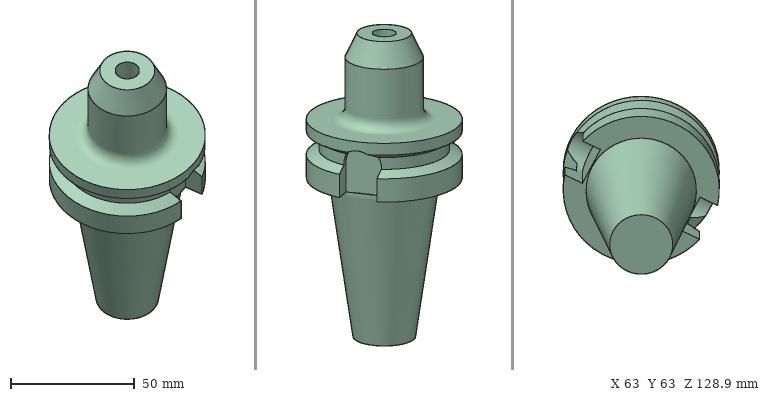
import cadquery as cq
import math

gauge_height = 65.4
gauge_radius = 22.24
taper_per_length = 7 / 24
tip_radius = gauge_radius - gauge_height * taper_per_length / 2

flange_radius = 31.52
flange_bottom = gauge_height + 2.0
flange_top = gauge_height + 27.1
groove_radius = 26.4
groove_lower_edge = 77.3
groove_floor_bottom = 79.7
groove_floor_top = 84.7
groove_upper_edge = 87.4

total_height = 128.9
nose_radius = 15.9
nose_fillet = 5.0
nose_cone_height = 10.2
nose_end_radius = 11.1
bore_radius = 4.83
bore_depth = 40.0

slot_width = 16.1
slot_top = 88.5
slot_floor_distance = 22.5


def make_body():
    """Revolve the half profile, drawn as (radius, height), about Z."""
    fillet_center_radius = nose_radius + nose_fillet
    fillet_center_height = flange_top + nose_fillet
    fillet_offset = nose_fillet * math.sqrt(0.5)
    return (
        cq.Workplane("XZ")
        .moveTo(0, 0)
        .lineTo(tip_radius, 0)
        .lineTo(gauge_radius, gauge_height)
        .lineTo(gauge_radius, flange_bottom)
        .lineTo(flange_radius, flange_bottom)
        .lineTo(flange_radius, groove_lower_edge)
        .lineTo(groove_radius, groove_floor_bottom)
        .lineTo(groove_radius, groove_floor_top)
        .lineTo(flange_radius, groove_upper_edge)
        .lineTo(flange_radius, flange_top)
        .lineTo(fillet_center_radius, flange_top)
        .threePointArc(
            (fillet_center_radius - fillet_offset, fillet_center_height - fillet_offset),
            (nose_radius, fillet_center_height),
        )
        .lineTo(nose_radius, total_height - nose_cone_height)
        .lineTo(nose_end_radius, total_height)
        .lineTo(0, total_height)
        .close()
        .revolve(360, (0, 0, 0), (0, 1, 0))
    )


def make_slot_cutter(side):
    """Arched cutter from the slot floor outward; side is +1 or -1 along X."""
    half_width = slot_width / 2
    arch_base = slot_top - half_width
    return (
        cq.Workplane("YZ", origin=(side * slot_floor_distance, 0, 0))
        .moveTo(-half_width, flange_bottom)
        .lineTo(half_width, flange_bottom)
        .lineTo(half_width, arch_base)
        .threePointArc((0, slot_top), (-half_width, arch_base))
        .close()
        .extrude(side * flange_radius)
    )


result = make_body()
for side in (-1, 1):
    result = result.cut(make_slot_cutter(side))

bore = cq.Workplane("XY", origin=(0, 0, total_height)).circle(bore_radius).extrude(-bore_depth)
result = result.cut(bore)